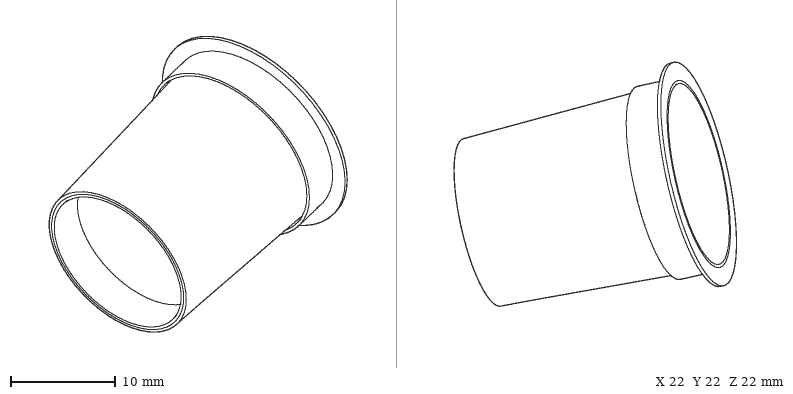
import cadquery as cq

length = 22.0
flange_radius = 11.0
back_y = length / 2
mouth_y = -length / 2

wall = 0.3
flange_thickness = 0.35
collar_radius = 9.5
collar_length = 4.05
collar_bore_radius = collar_radius - wall

sleeve_mouth_radius = 8.25
sleeve_back_radius = collar_bore_radius

cup_radius = sleeve_mouth_radius - wall
cup_recess_radius = cup_radius - wall
cup_length = 4.0


def revolved(profile):
    """Revolve a closed (radius, y) profile about the Y axis."""
    return cq.Workplane("XY").polyline(profile).close().revolve(360, (0, 0, 0), (0, 1, 0))


def make_collar():
    """Thin flange with a short cylindrical collar and a through bore."""
    collar_end_y = back_y - collar_length
    flange_front_y = back_y - flange_thickness
    return revolved([
        (collar_bore_radius, back_y),
        (flange_radius, back_y),
        (flange_radius, flange_front_y),
        (collar_radius, flange_front_y),
        (collar_radius, collar_end_y),
        (collar_bore_radius, collar_end_y),
    ])


def make_sleeve():
    """Open conical tube whose wall has the same radial thickness throughout."""
    return revolved([
        (sleeve_back_radius - wall, back_y),
        (sleeve_back_radius, back_y),
        (sleeve_mouth_radius, mouth_y),
        (sleeve_mouth_radius - wall, mouth_y),
    ])


def make_cup():
    """Straight-sided cup, open towards the mouth of the sleeve."""
    cup_back_y = mouth_y + cup_length
    recess_floor_y = cup_back_y - wall
    return revolved([
        (0, recess_floor_y),
        (cup_recess_radius, recess_floor_y),
        (cup_recess_radius, mouth_y),
        (cup_radius, mouth_y),
        (cup_radius, cup_back_y),
        (0, cup_back_y),
    ])


collar = make_collar()
sleeve = make_sleeve()
cup = make_cup()

result = cq.Compound.makeCompound([collar.val(), sleeve.val(), cup.val()])